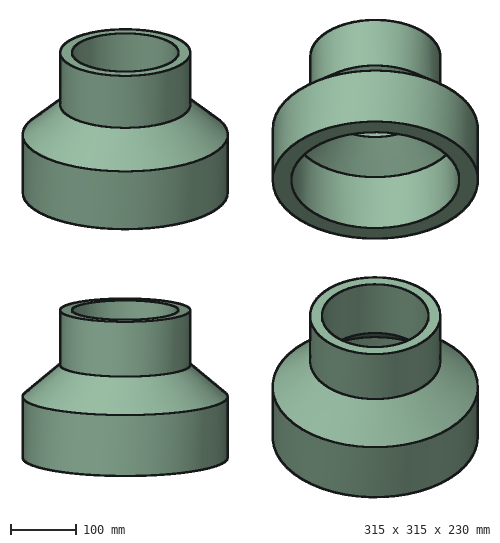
import cadquery as cq

wide_diameter = 315.0
narrow_diameter = 200.0
wide_wall = 28.7
narrow_wall = 18.3

total_height = 230.0
wide_length = 95.0
narrow_length = 85.5
narrow_bore_length = 92.5

wide_radius = wide_diameter / 2
narrow_radius = narrow_diameter / 2
wide_bore_radius = wide_radius - wide_wall
narrow_bore_radius = narrow_radius - narrow_wall
shoulder_top = total_height - narrow_length
bore_cone_top = total_height - narrow_bore_length

section = (
    cq.Workplane("XZ")
    .moveTo(wide_bore_radius, 0)
    .lineTo(wide_radius, 0)
    .lineTo(wide_radius, wide_length)
    .lineTo(narrow_radius, shoulder_top)
    .lineTo(narrow_radius, total_height)
    .lineTo(narrow_bore_radius, total_height)
    .lineTo(narrow_bore_radius, bore_cone_top)
    .lineTo(wide_bore_radius, wide_length)
    .close()
)

result = section.revolve(360, (0, 0, 0), (0, 1, 0))